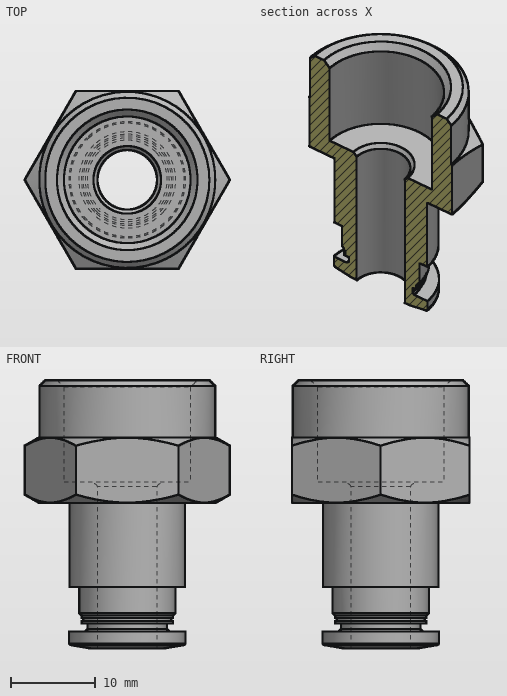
import cadquery as cq
import math

total_height = 31.7

collar_diameter = 13.8
collar_height = 2.03
collar_face_diameter = 8.62
collar_dome_height = 0.4
collar_edge_chamfer = 0.2

neck_diameter = 9.4
neck_flare = 0.25
neck_top = 2.95

rim_diameter = 10.8
rim_height = 0.32
groove_depth = 0.2
groove_width = 0.32

sleeve_diameter = 11.4
sleeve_top = 7.25
body_diameter = 13.7

hex_across_corners = 24.25
hex_bottom = 17.18
hex_height = 7.77
hex_chamfer_angle = 30.0

socket_diameter = 20.8
socket_chamfer = 0.7
bore_diameter = 14.95
bore_mouth_diameter = 16.6
bore_depth = 12.05

hole_diameter = 7.0
hole_mouth_diameter = 8.0

hex_top = hex_bottom + hex_height


def revolve_profile(points):
    """Turn a closed (radius, height) outline around the Z axis."""
    return cq.Workplane("XZ").polyline(points).close().revolve(360, (0, 0, 0), (0, 1, 0))


def make_lower_end():
    """Collar, neck, split rim, sleeve and body as one turned shape."""
    collar_radius = collar_diameter / 2
    neck_radius = neck_diameter / 2
    rim_radius = rim_diameter / 2
    sleeve_radius = sleeve_diameter / 2
    body_radius = body_diameter / 2
    groove_radius = rim_radius - groove_depth
    groove_bottom = neck_top + rim_height
    groove_top = groove_bottom + groove_width
    rim_top = groove_top + rim_height
    sleeve_bottom = rim_top + sleeve_radius - rim_radius
    return revolve_profile([
        (0, 0),
        (collar_face_diameter / 2, 0),
        (collar_radius - collar_edge_chamfer, collar_dome_height),
        (collar_radius, collar_dome_height + collar_edge_chamfer),
        (collar_radius, collar_height),
        (neck_radius + neck_flare, collar_height),
        (neck_radius, collar_height + neck_flare),
        (neck_radius, neck_top),
        (rim_radius, neck_top),
        (rim_radius, groove_bottom),
        (groove_radius, groove_bottom),
        (groove_radius, groove_top),
        (rim_radius, groove_top),
        (rim_radius, rim_top),
        (sleeve_radius, sleeve_bottom),
        (sleeve_radius, sleeve_top),
        (body_radius, sleeve_top),
        (body_radius, hex_bottom),
        (0, hex_bottom),
    ])


def make_hexagon():
    """Hexagon with corners on the X axis, its corners bevelled by cones at both ends."""
    corner_radius = hex_across_corners / 2
    face_radius = socket_diameter / 2
    bevel_height = (corner_radius - face_radius) * math.tan(math.radians(hex_chamfer_angle))
    prism = (
        cq.Workplane("XY")
        .workplane(offset=hex_bottom)
        .polygon(6, hex_across_corners)
        .extrude(hex_height)
    )
    bevelled_blank = revolve_profile([
        (0, hex_bottom),
        (face_radius, hex_bottom),
        (corner_radius, hex_bottom + bevel_height),
        (corner_radius, hex_top - bevel_height),
        (face_radius, hex_top),
        (0, hex_top),
    ])
    return prism.intersect(bevelled_blank)


def make_socket_end():
    """Round end above the hexagon with a chamfered outer edge."""
    socket = (
        cq.Workplane("XY")
        .workplane(offset=hex_top)
        .circle(socket_diameter / 2)
        .extrude(total_height - hex_top)
    )
    return socket.faces(">Z").edges().chamfer(socket_chamfer)


def make_bore():
    """Chamfered blind bore from the top, and a through hole chamfered at the bore floor."""
    bore_radius = bore_diameter / 2
    bore_mouth_radius = bore_mouth_diameter / 2
    hole_radius = hole_diameter / 2
    hole_mouth_radius = hole_mouth_diameter / 2
    bore_floor = total_height - bore_depth
    return revolve_profile([
        (0, 0),
        (hole_radius, 0),
        (hole_radius, bore_floor - (hole_mouth_radius - hole_radius)),
        (hole_mouth_radius, bore_floor),
        (bore_radius, bore_floor),
        (bore_radius, total_height - (bore_mouth_radius - bore_radius)),
        (bore_mouth_radius, total_height),
        (0, total_height),
    ])


result = make_lower_end().union(make_hexagon()).union(make_socket_end()).cut(make_bore())